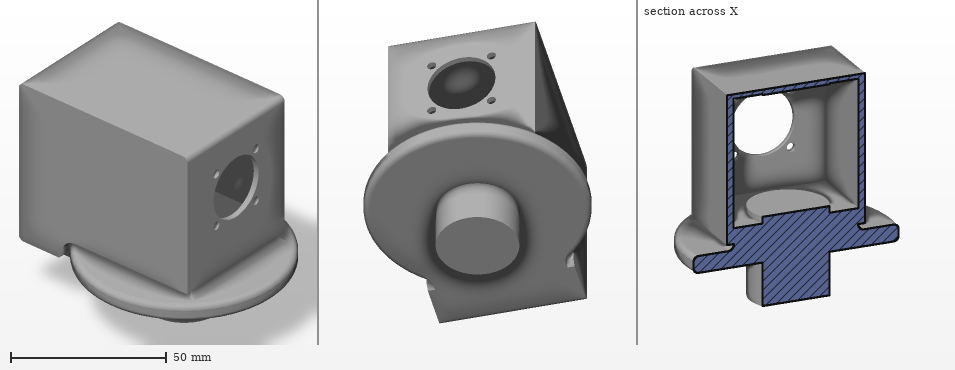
import cadquery as cq

flange_diameter = 73.55
flange_thickness = 6.0
edge_radius = 2.0
post_diameter = 27.0
post_length = 15.0

overall_length = 85.9
housing_left = flange_diameter / 2 - overall_length
housing_length = 71.0
housing_right = housing_left + housing_length
housing_width = 48.7
housing_height = 60.0

cavity_width = 44.0
cavity_floor = 13.7
roof_thickness = 1.7
end_wall = 2.0
cavity_top = housing_height - roof_thickness

floor_pad_height = 2.3
ceiling_pad_height = 0.35

window_diameter = 22.5
screw_diameter = 3.0
screw_pitch = 19.8
window_height = 37.0

relief_left = -30.4
relief_foot = -32.2
relief_straight = -24.75
relief_top = flange_thickness + edge_radius


def housing_block(width):
    """Solid block with its lengthwise outline rounded, except where it meets the flange."""
    block = (
        cq.Workplane("XY")
        .box(housing_length, width, housing_height, centered=(False, True, False))
        .translate((housing_left, 0, 0))
    )
    return block.edges("|Y and (<X or >Z)").fillet(edge_radius)


def flange():
    disc = cq.Workplane("XY").circle(flange_diameter / 2).extrude(flange_thickness)
    return disc.edges().fillet(edge_radius)


def filleted_core():
    """Housing core joined to the flange, with a fillet along the whole joint."""
    core = housing_block(cavity_width).union(flange())
    half = cavity_width / 2
    margin = 0.1
    joint = cq.selectors.BoxSelector(
        (-flange_diameter / 2, -half - margin, margin),
        (housing_right + margin, half + margin, flange_thickness + margin),
    )
    return core.edges(joint).fillet(edge_radius)


def side_walls():
    """Outer skins of the housing, cut away where the flange passes under them."""
    walls = housing_block(housing_width).cut(
        cq.Workplane("XY").box(3 * housing_length, cavity_width, 3 * housing_height)
    )
    relief = (
        cq.Workplane("XZ")
        .moveTo(relief_foot, 0)
        .lineTo(relief_left, edge_radius)
        .lineTo(relief_left, flange_thickness - edge_radius)
        .ellipseArc(
            relief_straight - relief_left,
            relief_top - flange_thickness + edge_radius,
            90,
            180,
            startAtCurrent=True,
            sense=-1,
        )
        .lineTo(housing_right, relief_top)
        .lineTo(housing_right, 0)
        .close()
        .extrude(housing_width, both=True)
    )
    return walls.cut(relief)


def post_section(bottom, height):
    return cq.Workplane("XY").workplane(offset=bottom).circle(post_diameter / 2).extrude(height)


def cavity():
    height = cavity_top - cavity_floor
    return (
        cq.Workplane("XY")
        .box(housing_length - end_wall, cavity_width, height, centered=(False, True, False))
        .translate((housing_left, 0, cavity_floor))
    )


def end_wall_holes():
    plane = cq.Workplane("YZ", origin=(housing_right - 2 * end_wall, 0, window_height))
    window = plane.circle(window_diameter / 2).extrude(3 * end_wall)
    screws = plane.rect(screw_pitch, screw_pitch, forConstruction=True).vertices()
    return window.union(screws.circle(screw_diameter / 2).extrude(3 * end_wall))


result = (
    filleted_core()
    .union(side_walls())
    .cut(cavity())
    .union(post_section(-post_length, post_length))
    .union(post_section(cavity_floor, floor_pad_height))
    .union(post_section(cavity_top - ceiling_pad_height, ceiling_pad_height))
    .cut(end_wall_holes())
)